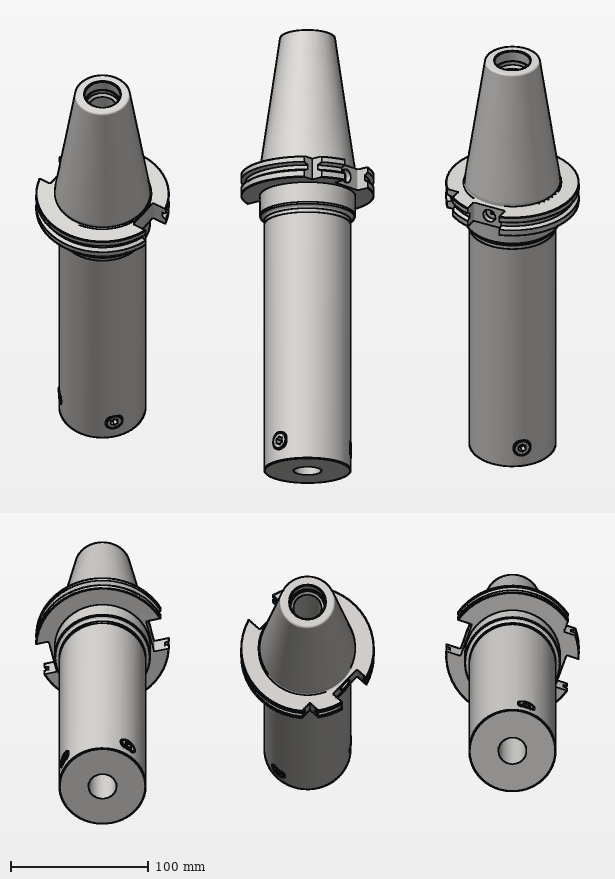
import cadquery as cq
import math

fillet_middle = 1 - math.sqrt(0.5)

total_height = 330.5
taper_length = 101.8
gauge_z = total_height - taper_length
gauge_to_flange = 3.3
flange_top_z = gauge_z - gauge_to_flange
flange_thickness = 16.0
flange_bottom_z = flange_top_z - flange_thickness
collar_height = 16.2
collar_bottom_z = flange_bottom_z - collar_height

gauge_diameter = 69.8
gauge_radius = gauge_diameter / 2
taper_ratio = 7 / 24
taper_top_radius = gauge_radius - taper_length * taper_ratio / 2
taper_top_fillet = 1.5

flange_radius = 48.5
flange_chamfer = 0.5
neck_fillet = 1.0
groove_width = 6.5
groove_depth = 3.0
groove_z = gauge_z - 11.0
groove_flank_angle = 30.0
groove_root_width = groove_width - 2 * groove_depth * math.tan(math.radians(groove_flank_angle))

collar_radius = gauge_radius
collar_chamfer = 1.3
shank_radius = 31.7
shank_fillet = 2.5
relief_depth = 0.15
relief_top_z = collar_bottom_z - shank_fillet
relief_height = 3.0
nose_chamfer = 0.5

bore_radius = 10.2
pilot_radius = 13.0
pilot_depth = 8.5
pilot_chamfer = 0.5
thread_radius = 12.2
thread_depth = 11.5
thread_cone_height = 2.0

drive_slot_width = 25.8
drive_slot_fillet = 1.0
left_slot_floor = 37.5
right_slot_floor = 35.7
notch_inner_x = 29.8
notch_inner_y = 29.5
chip_hole_diameter = 10.0
chip_hole_depth = 4.5
chip_pilot_diameter = 2.3
chip_pilot_depth = 3.3

screw_angles = [90.0, -40.0, -140.0]
screw_z = 16.0
screw_diameter = 13.2
screw_length = 12.0
screw_edge_chamfer = 1.0
screw_inner_end = shank_radius - screw_length
socket_across_flats = 5.3
socket_depth = 6.0


def revolved_body():
    """Solid of revolution: shank, collar, flange and steep taper."""
    fillet_offset = shank_fillet * fillet_middle
    relief_radius = shank_radius - relief_depth
    relief_bottom_z = relief_top_z - relief_height
    profile = (
        cq.Workplane("XZ")
        .moveTo(0, 0)
        .lineTo(shank_radius - nose_chamfer, 0)
        .lineTo(shank_radius, nose_chamfer)
        .lineTo(shank_radius, relief_bottom_z)
        .lineTo(relief_radius, relief_bottom_z)
        .lineTo(relief_radius, relief_top_z)
        .lineTo(shank_radius, relief_top_z)
        .threePointArc(
            (shank_radius + fillet_offset, collar_bottom_z - fillet_offset),
            (shank_radius + shank_fillet, collar_bottom_z),
        )
        .lineTo(collar_radius, collar_bottom_z + collar_chamfer)
        .lineTo(collar_radius, flange_bottom_z)
        .lineTo(flange_radius - flange_chamfer, flange_bottom_z)
        .lineTo(flange_radius, flange_bottom_z + flange_chamfer)
        .lineTo(flange_radius, groove_z - groove_width / 2)
        .lineTo(flange_radius - groove_depth, groove_z - groove_root_width / 2)
        .lineTo(flange_radius - groove_depth, groove_z + groove_root_width / 2)
        .lineTo(flange_radius, groove_z + groove_width / 2)
        .lineTo(flange_radius, flange_top_z - flange_chamfer)
        .lineTo(flange_radius - flange_chamfer, flange_top_z)
        .lineTo(gauge_radius + neck_fillet, flange_top_z)
        .threePointArc(
            (gauge_radius + neck_fillet * fillet_middle, flange_top_z + neck_fillet * fillet_middle),
            (gauge_radius, flange_top_z + neck_fillet),
        )
        .lineTo(gauge_radius, gauge_z)
        .lineTo(taper_top_radius, total_height)
        .lineTo(0, total_height)
        .close()
    )
    body = profile.revolve(360, (0, 0, 0), (0, 1, 0))
    return body.faces(">Z").edges().fillet(taper_top_fillet)


def central_bore():
    """Through bore that steps out through a cone and a thread to a chamfered pilot."""
    thread_end_z = total_height - thread_depth
    pilot_end_z = total_height - pilot_depth
    profile = (
        cq.Workplane("XZ")
        .moveTo(0, 0)
        .lineTo(bore_radius, 0)
        .lineTo(bore_radius, thread_end_z - thread_cone_height)
        .lineTo(thread_radius, thread_end_z)
        .lineTo(thread_radius, pilot_end_z)
        .lineTo(pilot_radius, pilot_end_z)
        .lineTo(pilot_radius, total_height - pilot_chamfer)
        .lineTo(pilot_radius + pilot_chamfer, total_height)
        .lineTo(0, total_height)
        .close()
    )
    return profile.revolve(360, (0, 0, 0), (0, 1, 0))


def flange_block(x_min, x_max, y_min, y_max):
    """Box over the full thickness of the flange."""
    block = cq.Workplane("XY").box(x_max - x_min, y_max - y_min, flange_thickness, centered=False)
    return block.translate((x_min, y_min, flange_bottom_z))


def flange_cuts():
    """Two drive slots of different depth and the orientation notch."""
    half_width = drive_slot_width / 2
    left_slot = flange_block(-flange_radius, -left_slot_floor, -half_width, half_width)
    left_slot = left_slot.edges("|Z and >X").fillet(drive_slot_fillet)
    right_slot = flange_block(right_slot_floor, flange_radius, -half_width, half_width)
    right_slot = right_slot.edges("|Z and <X").fillet(drive_slot_fillet)
    notch = flange_block(-flange_radius, -notch_inner_x, notch_inner_y, flange_radius)
    return left_slot.union(right_slot).union(notch)


def chip_hole():
    """Stepped blind hole in the floor of the left drive slot."""
    slot_floor = cq.Workplane(
        "YZ", origin=(-left_slot_floor, 0, flange_bottom_z + flange_thickness / 2)
    )
    pocket = slot_floor.circle(chip_hole_diameter / 2).extrude(chip_hole_depth)
    pilot = slot_floor.circle(chip_pilot_diameter / 2).extrude(chip_hole_depth + chip_pilot_depth)
    return pocket.union(pilot)


def radial_plane(angle, radius):
    """Plane at a radius from the axis at screw height, facing outward."""
    direction = cq.Vector(math.cos(math.radians(angle)), math.sin(math.radians(angle)), 0)
    origin = direction * radius + cq.Vector(0, 0, screw_z)
    return cq.Workplane(cq.Plane(origin=origin, xDir=(0, 0, 1), normal=direction))


def screw_cylinder(angle):
    """Radial cylinder shared by a screw and the blind hole that holds it."""
    return radial_plane(angle, screw_inner_end).circle(screw_diameter / 2).extrude(screw_length)


def make_screw(angle):
    """Headless screw with a chamfered outer edge and a hexagon socket."""
    socket_across_corners = socket_across_flats / math.cos(math.pi / 6)
    outward = radial_plane(angle, shank_radius)
    outer_face = cq.DirectionMinMaxSelector(outward.plane.zDir)
    socket = outward.polygon(6, socket_across_corners).extrude(-socket_depth)
    return screw_cylinder(angle).faces(outer_face).chamfer(screw_edge_chamfer).cut(socket)


def make_holder():
    """Tool holder with every bore, slot and screw hole cut."""
    holder = revolved_body().cut(central_bore()).cut(flange_cuts()).cut(chip_hole())
    for angle in screw_angles:
        holder = holder.cut(screw_cylinder(angle))
    return holder


holder = make_holder()
screws = [make_screw(angle) for angle in screw_angles]

result = cq.Compound.makeCompound([holder.val(), *[screw.val() for screw in screws]])